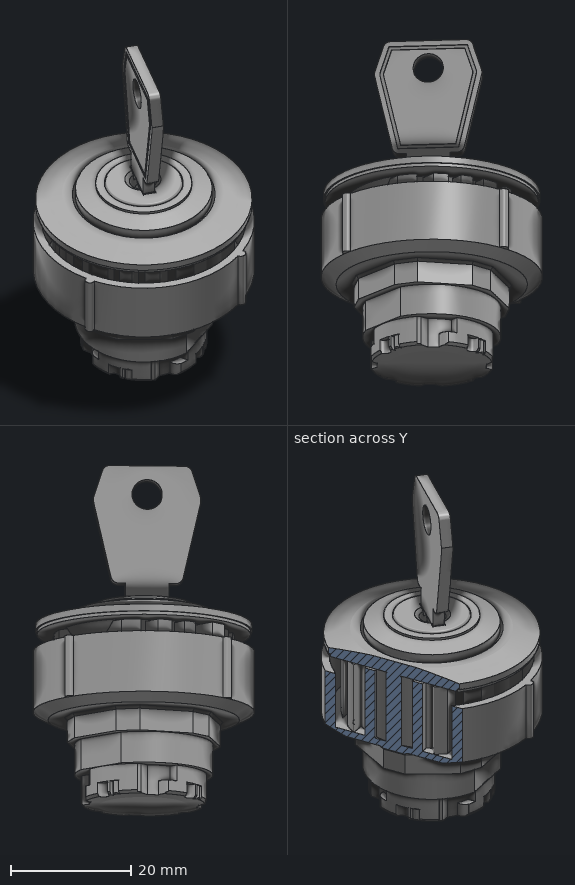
import cadquery as cq
import math

TOTAL_HEIGHT = 57.35
BARREL_TOP = 5.15
NECK_TOP = 10.35
HEX_TOP = 14.0
NUT_BOTTOM = 14.5
NUT_CHAMFER_TOP = 15.8
NUT_TOP = 26.05
COLLAR_TOP = 28.7
BEZEL_BOTTOM = 28.95
BEZEL_STEP_TOP = 29.5
BEZEL_EDGE_TOP = 30.65
BEZEL_TOP = 31.5
CAP_EDGE = 32.75
CAP_RIM = 33.6
RING_TOP = 34.0
PLUG_TOP = 34.3
KEY_SHOULDER = 37.45

BARREL_D = 21.0
BARREL_FLOOR_D = 18.2
BARREL_END_D = 14.8
BARREL_END_RISE = 0.2
BARREL_ROUND_D = 20.3
BARREL_ROUND_TOP = 0.7
LUG_HEIGHT = 2.5
SLOT_ANGLE = -45

NECK_D = 23.0
NECK_FLATS = 21.2
HEX_FLATS = 24.1
HEX_CORNER_FLATS = 25.5
HEX_FLARE = 0.4
HEX_TURN = 30

NUT_D = 36.8
NUT_LOWER_D = 31.8
NUT_BORE_D = 34.0
RIB_REACH = 38.5
RIB_RADIUS = 0.83
RIB_COUNT = 4

COLLAR_D = 30.1
COLLAR_ROOT_D = 26.0
COLLAR_FLATS = 26.7
BULGE_TOP_D = 28.7
BULGE_BOTTOM_D = 27.2
BULGE_WIDTH = 11.0
NOTCH_WIDTH = 2.0
NOTCH_PITCH = 4.0
NOTCHES_PER_SIDE = 3
TAB_WIDTH = 3.0
TAB_REACH = 16.7

BEZEL_D = 36.0
BEZEL_STEP_D = 35.5
BEZEL_FACE_D = 27.1
BEZEL_MOUTH_D = 23.7
MOUTH_DEPTH = 0.35
CAP_D = 22.7
CAP_ROUND = 0.2
CAP_RIM_D = 16.1
RING_D = 16.0
RING_BORE_D = 13.05
RING_BORE_DEPTH = 0.4
PLUG_D = 12.9
PLUG_ROUND = 0.4
BOWL_D = 6.0
BOWL_LIP_D = 4.5
BOWL_LIP_DEPTH = 0.4
BOWL_FLOOR_D = 2.6
BOWL_DEPTH = 1.8
KEYHOLE_LENGTH = 8.1
KEYHOLE_WIDTH = 2.2
KEYHOLE_DEPTH = 1.0

KEY_ANGLE = -45
KEY_OFFSET = -0.52
KEY_THICKNESS = 2.0
KEY_STEM_WIDTH = 7.3
KEY_STEM_BOTTOM = PLUG_TOP - 0.1
KEY_BLADE_WIDTH = 3.6
KEY_BLADE_THICKNESS = 1.2
KEY_WIDTH = 17.88
KEY_TOP_WIDTH = 14.4
KEY_BOTTOM_WIDTH = 11.6
KEY_SIDE_LOW = 51.2
KEY_SIDE_HIGH = 52.0
KEY_CORNER_RADIUS = 1.3
KEY_HOLE_D = 5.0
KEY_HOLE_HEIGHT = 52.5
GROOVE_INSET = 0.92
GROOVE_WIDTH = 0.6
GROOVE_DEPTH = 0.2


def disc(diameter, bottom, top):
    return cq.Workplane("XY").workplane(offset=bottom).circle(diameter / 2).extrude(top - bottom)


def cone(bottom_d, top_d, bottom, top):
    return cq.Workplane(cq.Solid.makeCone(bottom_d / 2, top_d / 2, top - bottom, cq.Vector(0, 0, bottom)))


def block(x0, x1, y0, y1, z0, z1):
    return cq.Workplane("XY").box(x1 - x0, y1 - y0, z1 - z0, centered=False).translate((x0, y0, z0))


def hexagon(flats, bottom, height, rotation, taper=0):
    corner_d = flats / math.cos(math.pi / 6)
    return (cq.Workplane("XY").polygon(6, corner_d).extrude(height, taper=taper)
            .rotate((0, 0, 0), (0, 0, 1), rotation).translate((0, 0, bottom)))


def make_bayonet_slot():
    """L-shaped slot on the -Y side: an open entry, then a run above a round-nosed lug."""
    outside = -BARREL_D
    floor_radius = BARREL_FLOOR_D / 2
    rim_left = (-1.64, -10.2)
    bevel_top = (-1.0, -10.2)
    run_end = (5.0, -9.27)
    wall_run = 2.0
    run_outside = (run_end[0] + run_end[1] - outside, outside)
    slot = (cq.Workplane("XY")
            .moveTo(rim_left[0], outside).lineTo(*rim_left).lineTo(*bevel_top)
            .lineTo(bevel_top[0] + wall_run, bevel_top[1] + wall_run)
            .lineTo(run_end[0] - wall_run, run_end[1] + wall_run)
            .lineTo(*run_outside).close()
            .extrude(BARREL_TOP))
    nose_foot_x = 1.95
    nose_foot = (nose_foot_x, -math.sqrt(floor_radius ** 2 - nose_foot_x ** 2))
    nose_middle = (2.45, -9.5)
    nose_tip = (3.6, -9.8)
    lug = (cq.Workplane("XY")
           .moveTo(nose_foot_x, 0).lineTo(*nose_foot).threePointArc(nose_middle, nose_tip)
           .lineTo(nose_tip[0], outside).lineTo(*run_outside).lineTo(run_outside[0], 0).close()
           .extrude(LUG_HEIGHT))
    return slot.cut(lug).cut(disc(BARREL_FLOOR_D, 0, BARREL_TOP))


def make_end_notch():
    """Low notch on the -Y side: a scoop and, past a thin web, a recess holding a round pin."""
    left = -0.95
    web_left = 1.3
    web_right = 1.7
    right = 3.25
    pin_setback = 0.5
    recess_depth = 1.1
    barrel_y = -BARREL_D / 2
    scoop_radius = (web_left - left) / 2
    pin_radius = (right - web_right) / 2
    scoop = (cq.Workplane("XY").center((left + web_left) / 2, barrel_y)
             .circle(scoop_radius).extrude(LUG_HEIGHT))
    recess = block(web_right, right, -BARREL_D, barrel_y + recess_depth, 0, LUG_HEIGHT)
    pin = (cq.Workplane("XY").center((web_right + right) / 2, barrel_y + pin_setback + pin_radius)
           .circle(pin_radius).extrude(LUG_HEIGHT))
    return scoop.union(recess.cut(pin))


def make_barrel():
    profile = [
        (0, 0), (BARREL_END_D / 2, 0), (BARREL_ROUND_D / 2, BARREL_END_RISE),
        (BARREL_D / 2, BARREL_ROUND_TOP), (BARREL_D / 2, BARREL_TOP), (0, BARREL_TOP),
    ]
    barrel = cq.Workplane("XZ").polyline(profile).close().revolve(360, (0, 0, 0), (0, 1, 0))
    slot = make_bayonet_slot().rotate((0, 0, 0), (0, 0, 1), SLOT_ANGLE)
    notch = make_end_notch()
    for angle in range(0, 360, 90):
        barrel = barrel.cut(slot.rotate((0, 0, 0), (0, 0, 1), angle))
        barrel = barrel.cut(notch.rotate((0, 0, 0), (0, 0, 1), angle))
    return barrel


def make_neck_and_hexagon():
    neck = disc(NECK_D, BARREL_TOP, NECK_TOP)
    half_flats = NECK_FLATS / 2
    neck = neck.intersect(block(-half_flats, half_flats, -NECK_D, NECK_D, BARREL_TOP, NECK_TOP))
    height = HEX_TOP - NECK_TOP
    hexagonal = hexagon(HEX_FLATS, NECK_TOP, height, HEX_TURN)
    hexagonal = hexagonal.intersect(hexagon(HEX_CORNER_FLATS, NECK_TOP, height, 0))
    flare_height = NUT_BOTTOM - HEX_TOP
    flare_angle = -math.degrees(math.atan(HEX_FLARE / flare_height))
    flare = hexagon(HEX_FLATS, HEX_TOP, flare_height, HEX_TURN, flare_angle)
    flare = flare.intersect(hexagon(HEX_CORNER_FLATS, HEX_TOP, flare_height, 0, flare_angle))
    return neck.union(hexagonal).union(flare)


def make_ring_nut():
    nut = disc(NUT_D, NUT_CHAMFER_TOP, NUT_TOP)
    nut = nut.union(cone(NUT_LOWER_D, NUT_D, NUT_BOTTOM, NUT_CHAMFER_TOP))
    ribs = (cq.Workplane("XY").workplane(offset=NUT_CHAMFER_TOP)
            .polarArray(RIB_REACH / 2 - RIB_RADIUS, 0, 360, RIB_COUNT)
            .circle(RIB_RADIUS).extrude(NUT_TOP - NUT_CHAMFER_TOP))
    return nut.union(ribs).cut(disc(NUT_BORE_D, NUT_CHAMFER_TOP, NUT_TOP))


def make_collar():
    """Flat-sided collar with Y-direction notches, conical side bulges and a locating tab on +Y."""
    half_flats = COLLAR_FLATS / 2
    notch_start = TAB_WIDTH / 2
    collar = disc(COLLAR_D, NUT_CHAMFER_TOP, COLLAR_TOP)
    flats = block(-half_flats, half_flats, -COLLAR_D, COLLAR_D, NUT_CHAMFER_TOP, COLLAR_TOP)
    collar = collar.intersect(flats)
    root = disc(COLLAR_ROOT_D, NUT_CHAMFER_TOP, BEZEL_BOTTOM)
    for index in range(NOTCHES_PER_SIDE):
        near = notch_start + index * NOTCH_PITCH
        far = near + NOTCH_WIDTH
        for x0, x1 in ((near, far), (-far, -near)):
            notch = block(x0, x1, -COLLAR_D, COLLAR_D, NUT_CHAMFER_TOP, COLLAR_TOP)
            collar = collar.cut(notch.cut(root))
    tab = block(-notch_start, notch_start, 0, TAB_REACH, NUT_CHAMFER_TOP, COLLAR_TOP)
    bulge = disc(BULGE_BOTTOM_D, NUT_CHAMFER_TOP, NUT_TOP)
    bulge = bulge.union(cone(BULGE_BOTTOM_D, BULGE_TOP_D, NUT_TOP, BEZEL_BOTTOM))
    half_bulge = BULGE_WIDTH / 2
    bulge = bulge.intersect(
        block(-COLLAR_D, COLLAR_D, -half_bulge, half_bulge, NUT_CHAMFER_TOP, BEZEL_BOTTOM))
    return collar.union(root).union(tab).union(bulge)


def make_bezel():
    bezel = disc(BEZEL_STEP_D, BEZEL_BOTTOM, BEZEL_STEP_TOP)
    bezel = bezel.union(disc(BEZEL_D, BEZEL_STEP_TOP, BEZEL_EDGE_TOP))
    bezel = bezel.union(cone(BEZEL_D, BEZEL_FACE_D, BEZEL_EDGE_TOP, BEZEL_TOP))
    return bezel.cut(cone(CAP_D, BEZEL_MOUTH_D, BEZEL_TOP - MOUTH_DEPTH, BEZEL_TOP))


def make_cap_and_plug():
    cap = disc(CAP_D, BEZEL_BOTTOM, CAP_EDGE)
    cap = cap.union(cone(CAP_D - 2 * CAP_ROUND, CAP_RIM_D, CAP_EDGE, CAP_RIM))
    cap = cap.union(disc(RING_D, CAP_RIM, RING_TOP))
    cap = cap.cut(disc(RING_BORE_D, RING_TOP - RING_BORE_DEPTH, RING_TOP))
    plug = disc(PLUG_D, BEZEL_BOTTOM, PLUG_TOP).faces(">Z").edges().fillet(PLUG_ROUND)
    return cap.union(plug)


def make_keyway():
    """Keyhole and shallow bowl in the plug, with the key lying along X."""
    keyhole = (cq.Workplane("XY").box(KEYHOLE_LENGTH, KEYHOLE_WIDTH, KEYHOLE_DEPTH)
               .translate((KEY_OFFSET, 0, PLUG_TOP - KEYHOLE_DEPTH / 2)))
    lip_bottom = PLUG_TOP - BOWL_LIP_DEPTH
    bowl = cone(BOWL_LIP_D, BOWL_D, lip_bottom, PLUG_TOP)
    bowl = bowl.union(cone(BOWL_FLOOR_D, BOWL_LIP_D, PLUG_TOP - BOWL_DEPTH, lip_bottom))
    return keyhole.union(bowl.translate((KEY_OFFSET, 0, 0)))


def key_panel(y_back):
    """Six-sided bow outline of the key in the XZ plane at y_back."""
    half = [
        (KEY_BOTTOM_WIDTH / 2, KEY_SHOULDER), (KEY_WIDTH / 2, KEY_SIDE_LOW),
        (KEY_WIDTH / 2, KEY_SIDE_HIGH), (KEY_TOP_WIDTH / 2, TOTAL_HEIGHT),
    ]
    outline = half + [(-x, z) for x, z in reversed(half)]
    return cq.Workplane("XZ", origin=(0, y_back, 0)).polyline(outline).close()


def make_key():
    """Key lying along X with its outer face toward -Y."""
    half_thickness = KEY_THICKNESS / 2
    bow = key_panel(half_thickness).extrude(KEY_THICKNESS)
    bow = bow.faces(">Z or <Z").edges("|Y").fillet(KEY_CORNER_RADIUS)
    half_stem = KEY_STEM_WIDTH / 2
    stem = block(-half_stem, half_stem, -half_thickness, half_thickness,
                 KEY_STEM_BOTTOM, KEY_SHOULDER + KEY_CORNER_RADIUS)
    half_blade = KEY_BLADE_WIDTH / 2
    half_blade_thickness = KEY_BLADE_THICKNESS / 2
    blade = block(-half_blade, half_blade, -half_blade_thickness, half_blade_thickness,
                  PLUG_TOP - BOWL_DEPTH, KEY_STEM_BOTTOM)
    hole = (cq.Workplane("XZ", origin=(0, KEY_THICKNESS, KEY_HOLE_HEIGHT))
            .circle(KEY_HOLE_D / 2).extrude(2 * KEY_THICKNESS))
    groove_floor = -half_thickness + GROOVE_DEPTH
    groove = key_panel(groove_floor).offset2D(-GROOVE_INSET).extrude(KEY_THICKNESS)
    island = key_panel(groove_floor).offset2D(-GROOVE_INSET - GROOVE_WIDTH).extrude(KEY_THICKNESS)
    key = bow.union(stem).union(blade).cut(hole).cut(groove.cut(island))
    return key.translate((KEY_OFFSET, 0, 0))


def turn_to_key_plane(body):
    return body.rotate((0, 0, 0), (0, 0, 1), KEY_ANGLE)


result = (
    make_barrel()
    .union(make_neck_and_hexagon())
    .union(make_ring_nut())
    .union(make_collar())
    .union(make_bezel())
    .union(make_cap_and_plug())
    .cut(turn_to_key_plane(make_keyway()))
    .union(turn_to_key_plane(make_key()))
)